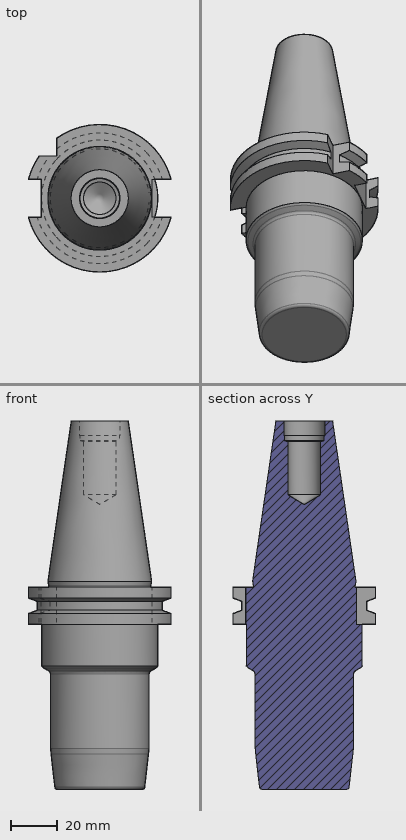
import cadquery as cq
import math

total_height = 158.2
gauge_z = 89.4
undercut_z = 87.7
flange_top_z = 86.9
flange_thickness = 16.0
flange_bottom_z = flange_top_z - flange_thickness
collar_bottom_z = 53.0
nose_top_z = 17.7
nose_blend_z = 15.4

gauge_diameter = 44.6
taper_ratio = 7 / 24
small_end_diameter = gauge_diameter - taper_ratio * (total_height - gauge_z)
undercut_diameter = 44.0
flange_diameter = 63.5
collar_diameter = 50.0
neck_diameter = 42.4
nose_blend_diameter = 42.0
nose_end_diameter = 38.5

collar_chamfer = 0.8
shoulder_angle = 30
shoulder_fillet = 1.6
nose_fillet = 1.3

groove_floor_diameter = 56.2
groove_floor_width = 3.8
groove_mouth_width = 6.6

slot_width = 16.1
left_slot_floor = 25.2
right_slot_floor = 22.5
notch_x = 18.5
notch_y = 18.2

mouth_diameter = 17.4
mouth_depth = 6.3
bore_diameter = 17.0
bore_depth = 8.4
pilot_diameter = 14.0
pilot_start_depth = 8.9
pilot_depth = 31.6
tip_half_angle = 59


def revolve_profile(points):
    """Turn a closed (radius, height) outline about the Z axis."""
    return cq.Workplane("XZ").polyline(points).close().revolve(360, (0, 0), (0, 1))


def make_body():
    """Taper, flange blank, collar, neck and nose."""
    collar_radius = collar_diameter / 2
    neck_radius = neck_diameter / 2
    shoulder_radius = collar_radius - collar_chamfer
    shoulder_drop = (shoulder_radius - neck_radius) * math.tan(math.radians(shoulder_angle))
    shoulder_top_z = collar_bottom_z - collar_chamfer
    shoulder_bottom_z = shoulder_top_z - shoulder_drop
    body = revolve_profile([
        (0, 0),
        (nose_end_diameter / 2, 0),
        (nose_blend_diameter / 2, nose_blend_z),
        (neck_radius, nose_top_z),
        (neck_radius, shoulder_bottom_z),
        (shoulder_radius, shoulder_top_z),
        (collar_radius, collar_bottom_z),
        (collar_radius, flange_bottom_z),
        (flange_diameter / 2, flange_bottom_z),
        (flange_diameter / 2, flange_top_z),
        (undercut_diameter / 2, flange_top_z),
        (undercut_diameter / 2, undercut_z),
        (gauge_diameter / 2, gauge_z),
        (small_end_diameter / 2, total_height),
        (0, total_height),
    ])
    shoulder_corner = cq.selectors.BoxSelector(
        (-collar_radius, -collar_radius, shoulder_bottom_z - collar_chamfer),
        (collar_radius, collar_radius, shoulder_bottom_z + collar_chamfer),
        boundingbox=True,
    )
    body = body.edges(shoulder_corner).fillet(shoulder_fillet)
    return body.faces("<Z").edges().fillet(nose_fillet)


def make_gripper_groove():
    """Ring with sloping sides, centred in the flange thickness."""
    middle_z = flange_bottom_z + flange_thickness / 2
    floor_radius = groove_floor_diameter / 2
    rim_radius = flange_diameter / 2
    return revolve_profile([
        (floor_radius, middle_z - groove_floor_width / 2),
        (rim_radius, middle_z - groove_mouth_width / 2),
        (rim_radius, middle_z + groove_mouth_width / 2),
        (floor_radius, middle_z + groove_floor_width / 2),
    ])


def flange_cutter(x_min, x_max, y_min, y_max):
    """Block through the full flange thickness."""
    return cq.Workplane("XY").box(
        x_max - x_min, y_max - y_min, flange_thickness, centered=False
    ).translate((x_min, y_min, flange_bottom_z))


def make_left_slot():
    return flange_cutter(-flange_diameter / 2, -left_slot_floor, -slot_width / 2, slot_width / 2)


def make_right_slot():
    """Slot deeper than the collar radius; the collar below stays whole."""
    return flange_cutter(right_slot_floor, flange_diameter / 2, -slot_width / 2, slot_width / 2)


def make_notch():
    return flange_cutter(-flange_diameter / 2, -notch_x, notch_y, flange_diameter / 2)


def make_bore():
    """Stepped blind bore ending in a drill point."""
    tip_depth = pilot_depth + pilot_diameter / 2 / math.tan(math.radians(tip_half_angle))
    return revolve_profile([
        (0, total_height),
        (mouth_diameter / 2, total_height),
        (mouth_diameter / 2, total_height - mouth_depth),
        (bore_diameter / 2, total_height - mouth_depth),
        (bore_diameter / 2, total_height - bore_depth),
        (pilot_diameter / 2, total_height - pilot_start_depth),
        (pilot_diameter / 2, total_height - pilot_depth),
        (0, total_height - tip_depth),
    ])


result = make_body()
for cutter in (make_gripper_groove(), make_left_slot(), make_right_slot(), make_notch(), make_bore()):
    result = result.cut(cutter)